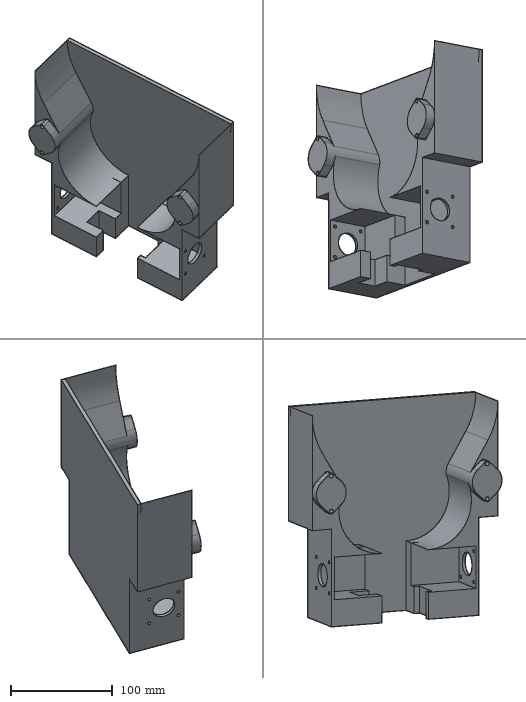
import cadquery as cq
import math

width = 200.0
height = 213.0
plate_thickness = 4.0
housing_depth = 58.0
wall_depth = housing_depth - plate_thickness
half_width = width / 2

foot_half_width = 79.5
foot_gap = 50.0
half_gap = foot_gap / 2
shoulder_z = 98.0

pocket_floor_z = 27.0
pocket_top_z = 69.7
pocket_back = 16.5
side_wall = 3.2
pocket_height = pocket_top_z - pocket_floor_z
pocket_length = foot_half_width - side_wall - half_gap

bowl_radius = 46.5
funnel_radius = 73.5

flange_radius = 16.0
flange_thickness = 68.0 - housing_depth
flange_x = half_width - flange_radius
flange_z = 135.5
ear_offset = 17.7
ear_radius = 2.8
ear_hole_diameter = 4.0

motor_distance = 36.6
motor_z = (pocket_floor_z + pocket_top_z) / 2
motor_bore = 23.0
motor_screw_spacing = 31.0
motor_screw_diameter = 3.0

left_notch_depth = 20.0
left_notch_back = 26.2
left_notch_length = 20.0
right_notch_depth = 6.0
right_notch_back = 23.5
right_notch_length = 29.2


def front_plane(distance):
    """Sketch plane facing -Y, the given distance in front of the back face."""
    return cq.Workplane("XZ", origin=(0, -distance, 0))


def point_on_circle(center, radius, angle):
    return (center[0] + radius * math.cos(angle), center[1] + radius * math.sin(angle))


def side_wall_block():
    """Right-hand wall with its funnel, rounded lip and bowl edges."""
    funnel_center = (half_width - funnel_radius, height)
    lip_center = (flange_x, flange_z)
    bowl_center = (half_gap, pocket_top_z + bowl_radius)

    dx = lip_center[0] - funnel_center[0]
    dz = lip_center[1] - funnel_center[1]
    spacing = math.hypot(dx, dz)
    tangent_angle = math.atan2(dz, dx) + math.acos((funnel_radius + flange_radius) / spacing)
    funnel_end = point_on_circle(funnel_center, funnel_radius, tangent_angle)
    funnel_middle = point_on_circle(funnel_center, funnel_radius, tangent_angle / 2)
    lip_start = point_on_circle(lip_center, flange_radius, tangent_angle + math.pi)

    dx = bowl_center[0] - lip_center[0]
    dz = bowl_center[1] - lip_center[1]
    spacing = math.hypot(dx, dz)
    along = (spacing**2 + flange_radius**2 - bowl_radius**2) / (2 * spacing)
    meeting_angle = math.atan2(dz, dx) + 2 * math.pi - math.acos(along / flange_radius)
    lip_end = point_on_circle(lip_center, flange_radius, meeting_angle)
    lip_middle = point_on_circle(lip_center, flange_radius, (tangent_angle + math.pi + meeting_angle) / 2)
    bowl_start_angle = math.atan2(lip_end[1] - bowl_center[1], lip_end[0] - bowl_center[0])
    bowl_middle = point_on_circle(bowl_center, bowl_radius, (bowl_start_angle - math.pi / 2) / 2)

    return (
        front_plane(plate_thickness)
        .moveTo(half_width, height)
        .threePointArc(funnel_middle, funnel_end)
        .lineTo(*lip_start)
        .threePointArc(lip_middle, lip_end)
        .threePointArc(bowl_middle, (half_gap, pocket_top_z))
        .lineTo(half_gap, 0)
        .lineTo(foot_half_width, 0)
        .lineTo(foot_half_width, shoulder_z)
        .lineTo(half_width, shoulder_z)
        .close()
        .extrude(wall_depth)
    )


def back_plate():
    return (
        front_plane(0)
        .moveTo(-half_width, height)
        .lineTo(half_width, height)
        .lineTo(half_width, shoulder_z)
        .lineTo(foot_half_width, shoulder_z)
        .lineTo(foot_half_width, 0)
        .lineTo(-foot_half_width, 0)
        .lineTo(-foot_half_width, shoulder_z)
        .lineTo(-half_width, shoulder_z)
        .close()
        .extrude(plate_thickness)
    )


def flange():
    """Right-hand boss: a disc with two small ears, each with a screw hole."""
    tilt = math.acos((flange_radius - ear_radius) / ear_offset)
    side_x = math.sin(tilt)
    side_z = math.cos(tilt)
    disc_x = flange_radius * side_x
    disc_z = flange_radius * side_z
    ear_x = ear_radius * side_x
    ear_z = ear_offset + ear_radius * side_z
    plane = front_plane(housing_depth).center(flange_x, flange_z)
    body = (
        plane.moveTo(disc_x, -disc_z)
        .threePointArc((flange_radius, 0), (disc_x, disc_z))
        .lineTo(ear_x, ear_z)
        .threePointArc((0, ear_offset + ear_radius), (-ear_x, ear_z))
        .lineTo(-disc_x, disc_z)
        .threePointArc((-flange_radius, 0), (-disc_x, -disc_z))
        .lineTo(-ear_x, -ear_z)
        .threePointArc((0, -ear_offset - ear_radius), (ear_x, -ear_z))
        .close()
        .extrude(flange_thickness)
    )
    holes = (
        plane.pushPoints([(0, ear_offset), (0, -ear_offset)])
        .circle(ear_hole_diameter / 2)
        .extrude(flange_thickness)
    )
    return body.cut(holes)


def motor_pocket():
    """Right-hand pocket, open to the front and to the gap between the feet."""
    return (
        front_plane(pocket_back)
        .center(half_gap + pocket_length / 2, motor_z)
        .rect(pocket_length, pocket_height)
        .extrude(housing_depth - pocket_back)
    )


def motor_openings():
    """Motor bores and their screw holes, running through both side walls."""
    plane = cq.Workplane("YZ", origin=(-foot_half_width, -motor_distance, motor_z))
    bore = plane.circle(motor_bore / 2).extrude(2 * foot_half_width)
    screws = (
        plane.rect(motor_screw_spacing, motor_screw_spacing, forConstruction=True)
        .vertices()
        .circle(motor_screw_diameter / 2)
        .extrude(2 * foot_half_width)
    )
    return bore.union(screws)


def foot_notch(side, depth, back, length):
    """Notch through the foot on the given side (-1 left, 1 right)."""
    return (
        cq.Workplane("XY")
        .center(side * (half_gap + depth / 2), -(back + length / 2))
        .rect(depth, length)
        .extrude(pocket_floor_z)
    )


right_side = side_wall_block().union(flange()).cut(motor_pocket())
left_side = right_side.mirror("YZ")

result = (
    back_plate()
    .union(right_side)
    .union(left_side)
    .cut(motor_openings())
    .cut(foot_notch(-1, left_notch_depth, left_notch_back, left_notch_length))
    .cut(foot_notch(1, right_notch_depth, right_notch_back, right_notch_length))
)